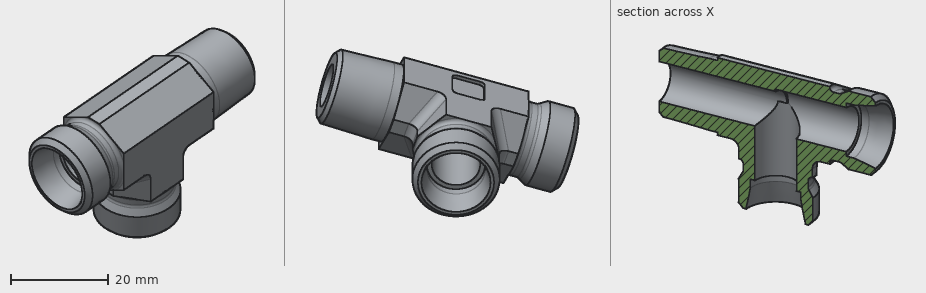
import cadquery as cq
import math

port_length = 24.0
body_front = 13.0
body_back = 14.0
back_end = 28.0
across_flats = 17.0
trimmed_half = 8.9
crotch_radius = 1.9
fill_overlap = 0.5

collar_diameter = 18.0
neck_diameter = 15.7
root_radius = 0.9
neck_radius = 1.35
collar_cone_angle = 30.0
collar_length = 6.5
collar_chamfer = 1.15
mouth_diameter = 14.25
tube_diameter = 12.0
seat_angle = 12.0
tube_stop_depth = 7.0
port_bore_diameter = 10.0

stub_diameter = 16.55
taper_start = 16.0
stub_taper = 1 / 16
stub_chamfer = 0.95
stub_bore_diameter = 9.0

panel_size = 7.0
panel_corner_radius = 1.05
panel_depth = 0.8

half_flats = across_flats / 2
hexagon_half_side = math.radians(30)
corner_height = half_flats * math.tan(hexagon_half_side)
full_corner = half_flats / math.cos(hexagon_half_side)
flat_half_width = (full_corner - trimmed_half) / math.tan(hexagon_half_side)
quarter_arc_sag = 1 - math.cos(math.radians(45))


def hexagon_bar(plane, length):
    """Hexagon bar whose two corners on the local Y axis are cut flat."""
    outline = [
        (half_flats, -corner_height),
        (half_flats, corner_height),
        (flat_half_width, trimmed_half),
        (-flat_half_width, trimmed_half),
        (-half_flats, corner_height),
        (-half_flats, -corner_height),
        (-flat_half_width, -trimmed_half),
        (flat_half_width, -trimmed_half),
    ]
    return cq.Workplane(plane).polyline(outline).close().extrude(length)


def crotch_fill(side):
    """Concave fill between run and branch, following the hexagon faces on one Y side."""
    stations = [
        (-half_flats, corner_height),
        (-flat_half_width, trimmed_half),
        (flat_half_width, trimmed_half),
        (half_flats, corner_height),
    ]
    sag = crotch_radius * quarter_arc_sag
    sections = []
    for x, half in stations:
        inside = half - fill_overlap
        tangent = half + crotch_radius
        section = (
            cq.Workplane(cq.Plane((x, 0, 0), xDir=(0, side, 0), normal=(side, 0, 0)))
            .moveTo(inside, -inside)
            .lineTo(tangent, -inside)
            .lineTo(tangent, -half)
            .threePointArc((half + sag, -half - sag), (half, -tangent))
            .lineTo(inside, -tangent)
            .close()
        )
        sections.append(section.wires().val())
    return cq.Workplane(cq.Solid.makeLoft(sections, True))


def make_body():
    """Hexagon run and branch joined, with filled crotches."""
    run_plane = cq.Plane((0, body_back, 0), xDir=(1, 0, 0), normal=(0, -1, 0))
    branch_plane = cq.Plane((0, 0, 0), xDir=(1, 0, 0), normal=(0, 0, -1))
    run = hexagon_bar(run_plane, body_back + body_front)
    body = run.union(hexagon_bar(branch_plane, body_front))
    for side in (-1, 1):
        body = body.union(crotch_fill(side))
    return body


def turned(outline):
    """Solid of revolution about the local Y axis of a closed outline."""
    return outline.revolve(360, (0, 0), (0, 1))


def port_shell(plane):
    """Outside of a tube port, turned about the plane's local Y axis."""
    neck = neck_diameter / 2
    collar = collar_diameter / 2
    angle = math.radians(collar_cone_angle)
    cone_top = port_length - collar_length
    cone_foot = cone_top - (collar - neck) / math.tan(angle)
    tangent = neck_radius * math.tan(angle / 2)
    bend_start = cone_foot - tangent
    bend_middle = (
        neck + neck_radius * (1 - math.cos(angle / 2)),
        bend_start + neck_radius * math.sin(angle / 2),
    )
    bend_end = (neck + tangent * math.sin(angle), cone_foot + tangent * math.cos(angle))
    outline = (
        cq.Workplane(plane)
        .lineTo(neck, 0)
        .lineTo(neck, bend_start)
        .threePointArc(bend_middle, bend_end)
        .lineTo(collar, cone_top)
        .lineTo(collar, port_length - collar_chamfer)
        .lineTo(collar - collar_chamfer, port_length)
        .lineTo(0, port_length)
        .close()
    )
    return turned(outline)


def port_root(plane):
    """Concave ring between the hexagon end and the neck of a tube port."""
    neck = neck_diameter / 2
    sag = root_radius * quarter_arc_sag
    outline = (
        cq.Workplane(plane)
        .moveTo(0, body_front)
        .lineTo(neck + root_radius, body_front)
        .threePointArc((neck + sag, body_front + sag), (neck, body_front + root_radius))
        .lineTo(0, body_front + root_radius)
        .close()
    )
    return turned(outline)


def port_bore(plane):
    """Tapered seat, tube socket and bore of a tube port, reaching the axis crossing."""
    mouth = mouth_diameter / 2
    socket = tube_diameter / 2
    bore = port_bore_diameter / 2
    seat_depth = (mouth - socket) / math.tan(math.radians(seat_angle))
    outline = (
        cq.Workplane(plane)
        .lineTo(bore, 0)
        .lineTo(bore, port_length - tube_stop_depth)
        .lineTo(socket, port_length - tube_stop_depth)
        .lineTo(socket, port_length - seat_depth)
        .lineTo(mouth, port_length)
        .lineTo(0, port_length)
        .close()
    )
    return turned(outline)


def make_stub():
    """Tapered stub at the back end of the run."""
    base = stub_diameter / 2
    chamfer_start = back_end - stub_chamfer
    tip = base - (chamfer_start - taper_start) * stub_taper / 2
    outline = (
        cq.Workplane("XY")
        .lineTo(base, 0)
        .lineTo(base, taper_start)
        .lineTo(tip, chamfer_start)
        .lineTo(tip - stub_chamfer, back_end)
        .lineTo(0, back_end)
        .close()
    )
    return turned(outline)


def panel_recess():
    """Square recess with rounded corners in the -X hexagon face."""
    return (
        cq.Workplane("YZ", origin=(-half_flats, 0, 0))
        .rect(panel_size, panel_size)
        .extrude(panel_depth)
        .edges("|X")
        .fillet(panel_corner_radius)
    )


run_port = cq.Plane((0, 0, 0), xDir=(-1, 0, 0), normal=(0, 0, 1))
branch_port = cq.Plane((0, 0, 0), xDir=(1, 0, 0), normal=(0, 1, 0))


result = make_body().union(make_stub())
for port in (run_port, branch_port):
    hexagon_plane = cq.Plane((0, 0, 0), xDir=(1, 0, 0), normal=port.yDir)
    root = port_root(port).intersect(hexagon_bar(hexagon_plane, port_length))
    result = result.union(port_shell(port)).union(root)
for port in (run_port, branch_port):
    result = result.cut(port_bore(port))

stub_bore = cq.Workplane("XZ").circle(stub_bore_diameter / 2).extrude(-back_end)
result = result.cut(stub_bore).cut(panel_recess())